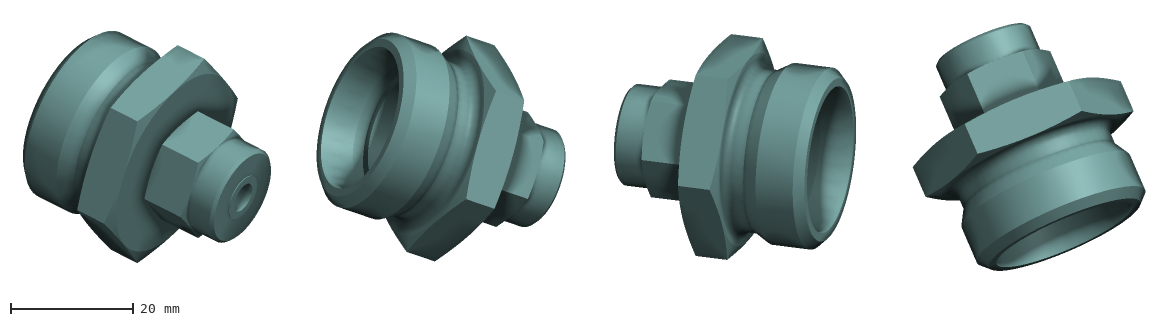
import cadquery as cq
import math


stud_radius = 15.0
stud_chamfer = 1.5
groove_radius = 13.5
groove_ramp_start = 7.9
groove_ramp_angle = 30.0
groove_fillet = 1.45

body_hex_flats = 32.0
body_hex_start = 14.0
body_hex_end = 20.8

neck_radius = 6.0
nut_hex_flats = 17.0
nut_hex_start = 21.6
nut_hex_end = 29.65
hex_chamfer_angle = 15.0
hex_chamfer_inset = 0.07

collar_radius = 8.4
collar_end = 34.65
collar_chamfer = 0.5
tube_radius = 3.88
tube_end = 34.8

mouth_radius = 12.12
mouth_half_angle = 12.0
socket_radius = 10.97
socket_depth = 7.4
chamber_radius = 9.5
chamber_depth = 15.9
drill_half_angle = 60.0
bore_radius = 2.5


def revolve_profile(points):
    """Close an (x, radius) profile and revolve it about the X axis."""
    profile = cq.Workplane("XY").polyline(points).close()
    return profile.revolve(360, (0, 0, 0), (1, 0, 0))


def cylinder(start, end, radius):
    return cq.Workplane("YZ", origin=(start, 0, 0)).circle(radius).extrude(end - start)


def chamfered_hexagon(start, end, flats):
    """Hexagonal prism with corners on +Y and -Y, both ends turned to a shallow cone."""
    corner_radius = flats / math.sqrt(3)
    prism = (
        cq.Workplane("YZ", origin=(start, 0, 0))
        .polygon(6, 2 * corner_radius)
        .extrude(end - start)
    )
    face_radius = flats / 2 - hex_chamfer_inset
    setback = (corner_radius - face_radius) * math.tan(math.radians(hex_chamfer_angle))
    envelope = revolve_profile([
        (start, 0),
        (start, face_radius),
        (start + setback, corner_radius),
        (end - setback, corner_radius),
        (end, face_radius),
        (end, 0),
    ])
    return prism.intersect(envelope)


def stud_end():
    """Chamfered stud with a ramped groove that sweeps up into the large hexagon."""
    ramp_length = (stud_radius - groove_radius) / math.tan(math.radians(groove_ramp_angle))
    fillet_start = body_hex_start - groove_fillet
    fillet_sag = groove_fillet * math.sqrt(0.5)
    profile = (
        cq.Workplane("XY")
        .moveTo(0, 0)
        .lineTo(0, stud_radius - stud_chamfer)
        .lineTo(stud_chamfer, stud_radius)
        .lineTo(groove_ramp_start, stud_radius)
        .lineTo(groove_ramp_start + ramp_length, groove_radius)
        .lineTo(fillet_start, groove_radius)
        .threePointArc(
            (fillet_start + fillet_sag, groove_radius + groove_fillet - fillet_sag),
            (body_hex_start, groove_radius + groove_fillet),
        )
        .lineTo(body_hex_start, 0)
        .close()
    )
    return profile.revolve(360, (0, 0, 0), (1, 0, 0))


def passage():
    """Tapered mouth, tube socket, drilled chamber and through bore."""
    mouth_depth = (mouth_radius - socket_radius) / math.tan(math.radians(mouth_half_angle))
    drill_tip = (chamber_radius - bore_radius) / math.tan(math.radians(drill_half_angle))
    return revolve_profile([
        (0, 0),
        (0, mouth_radius),
        (mouth_depth, socket_radius),
        (socket_depth, socket_radius),
        (socket_depth, chamber_radius),
        (chamber_depth, chamber_radius),
        (chamber_depth + drill_tip, bore_radius),
        (tube_end, bore_radius),
        (tube_end, 0),
    ])


body_hex = chamfered_hexagon(body_hex_start, body_hex_end, body_hex_flats)
nut_hex = chamfered_hexagon(nut_hex_start, nut_hex_end, nut_hex_flats)
neck = cylinder(body_hex_end, nut_hex_start, neck_radius)
collar = cylinder(nut_hex_end, collar_end, collar_radius).faces(">X").chamfer(collar_chamfer)
tube = cylinder(collar_end, tube_end, tube_radius)

solid_body = stud_end().union(body_hex).union(neck).union(nut_hex).union(collar).union(tube)
result = solid_body.cut(passage())